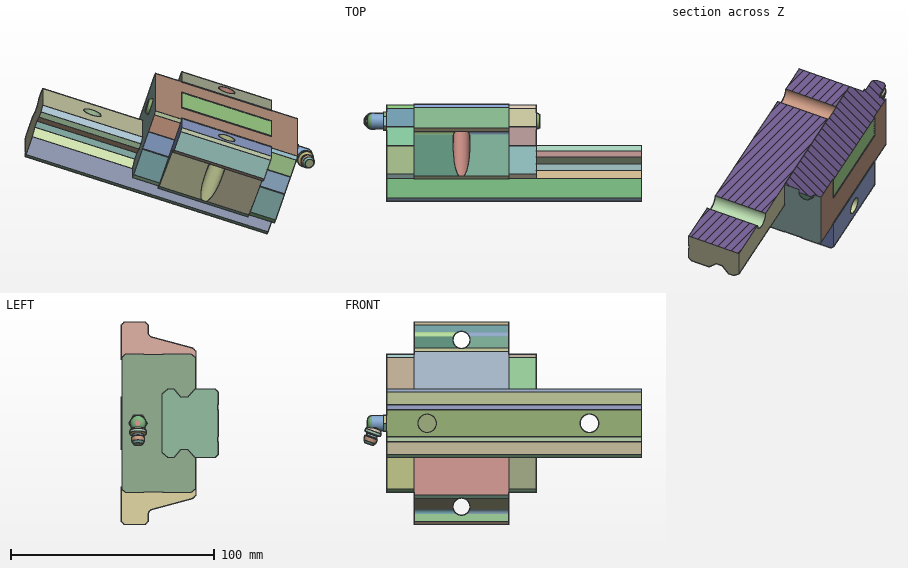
import cadquery as cq
import math


rail_length = 125.7
rail_half_width = 17.0
rail_height = 27.7
rail_waist_half_width = 12.9
rail_side_height = 11.4
rail_waist_bottom = 15.2
rail_waist_top = 18.5
rail_head_bottom = 21.9
rail_head_side_top = 24.8
rail_crown_half_width = 14.5
edge_chamfer = 1.6
rail_hole_diameter = 9.0
rail_hole_pitch = 80.0
rail_hole_end_distance = 20.0
base_groove_inner = 6.6
base_groove_outer = 9.3
base_groove_depth = 0.3

assembly_height = 48.0
block_half_width = 50.0
block_start = 13.5
block_length = 46.7
block_bottom = 11.0
flange_bottom = 34.5
flank_top_half_width = 43.0
flank_bottom = 12.6
flank_bottom_half_width = 37.1
block_bottom_half_width = 35.3
flank_fillet = 2.3
mount_hole_diameter = 8.4
mount_hole_half_spacing = 41.1
top_relief_inner = 13.0
top_relief_outer = 31.5

cap_half_width = 34.1
cap_bottom = 11.4
cap_top = 47.5
cap_bottom_chamfer_height = 2.0
carriage_length = 73.8
cap_relief_bottom = 27.3
cap_relief_top = 36.8
cap_relief_depth = 0.3

fitting_height = 39.6
hex_across_flats = 8.0
hex_length = 1.6
elbow_diameter = 7.8
elbow_length = 9.6
elbow_round = 2.6
nozzle_offset = 5.0
nozzle_tilt = 20
nozzle_root_radius = 3.3
collar_start = 2.6
collar_shoulder = 4.1
collar_shoulder_end = 5.5
collar_end = 6.0
collar_radius = 4.1
nozzle_neck_radius = 2.7
head_start = 7.0
head_barrel_start = 7.5
head_barrel_end = 9.7
head_barrel_start_radius = 3.3
head_barrel_middle_radius = 3.3
head_barrel_end_radius = 3.0
head_end = 11.0
head_tip_radius = 2.2
plug_base_diameter = 8.4
plug_end_diameter = 6.6
plug_length = 1.8


def prism(half_outline, start, length):
    """Solid along X from the +Z half of a (Y, Z) outline, mirrored to -Z."""
    mirrored = [(y, -z) for y, z in reversed(half_outline)]
    outline = cq.Workplane("YZ").workplane(offset=start).polyline(half_outline + mirrored)
    return outline.close().extrude(length)


def cross_hole(x, z, diameter):
    """Cylinder along Y, reaching through the whole assembly."""
    plane = cq.Workplane("XZ", origin=(x, 0, z))
    return plane.circle(diameter / 2).extrude(-assembly_height)


def rail_blank():
    return prism(
        [
            (0, base_groove_inner),
            (base_groove_depth, base_groove_inner + base_groove_depth),
            (base_groove_depth, base_groove_outer - base_groove_depth),
            (0, base_groove_outer),
            (0, rail_half_width - edge_chamfer),
            (edge_chamfer, rail_half_width),
            (rail_side_height, rail_half_width),
            (rail_waist_bottom, rail_waist_half_width),
            (rail_waist_top, rail_waist_half_width),
            (rail_head_bottom, rail_half_width),
            (rail_head_side_top, rail_half_width),
            (rail_height, rail_crown_half_width),
        ],
        0,
        rail_length,
    )


def make_rail():
    rail = rail_blank()
    for x in (rail_hole_end_distance, rail_hole_end_distance + rail_hole_pitch):
        rail = rail.cut(cross_hole(x, 0, rail_hole_diameter))
    return rail


def flanged_block():
    block = prism(
        [
            (block_bottom, block_bottom_half_width),
            (flank_bottom, flank_bottom_half_width),
            (flange_bottom, flank_top_half_width),
            (flange_bottom, block_half_width - edge_chamfer),
            (flange_bottom + edge_chamfer, block_half_width),
            (assembly_height - edge_chamfer, block_half_width),
            (assembly_height, block_half_width - edge_chamfer),
        ],
        block_start,
        block_length,
    )
    middle = block_start + block_length / 2
    for side in (-1, 1):
        corner = cq.selectors.NearestToPointSelector((middle, flange_bottom, side * flank_top_half_width))
        block = block.edges("|X").edges(corner).fillet(flank_fillet)
    relief_width = top_relief_outer - top_relief_inner
    for z0 in (top_relief_inner, -top_relief_outer):
        relief = cq.Workplane("XY").box(block_length, assembly_height - cap_top, relief_width, centered=False)
        block = block.cut(relief.translate((block_start, cap_top, z0)))
    for side in (-1, 1):
        block = block.cut(cross_hole(middle, side * mount_hole_half_spacing, mount_hole_diameter))
    return block


def end_caps():
    """Both end caps as one prism through the block; each side has a shallow relief with 45 degree walls."""
    relief_half_width = cap_half_width - cap_relief_depth
    return prism(
        [
            (cap_bottom, cap_half_width - edge_chamfer),
            (cap_bottom + cap_bottom_chamfer_height, cap_half_width),
            (cap_relief_bottom, cap_half_width),
            (cap_relief_bottom + cap_relief_depth, relief_half_width),
            (cap_relief_top - cap_relief_depth, relief_half_width),
            (cap_relief_top, cap_half_width),
            (cap_top - edge_chamfer, cap_half_width),
            (cap_top, cap_half_width - edge_chamfer),
        ],
        0,
        carriage_length,
    )


def grease_nipple():
    """Hexagon foot and round elbow along -X, with a collared nozzle tilted down from the elbow."""
    face = cq.Workplane("YZ", origin=(0, fitting_height, 0))
    foot = face.polygon(6, hex_across_flats / math.cos(math.pi / 6)).extrude(-hex_length)
    elbow = face.circle(elbow_diameter / 2).extrude(-elbow_length).faces("<X").edges().fillet(elbow_round)
    nozzle = (
        cq.Workplane("XZ")
        .moveTo(0, 0)
        .lineTo(nozzle_root_radius, 0)
        .lineTo(nozzle_root_radius, -collar_start)
        .lineTo(collar_radius, -collar_shoulder)
        .lineTo(collar_radius, -collar_shoulder_end)
        .lineTo(nozzle_neck_radius, -collar_end)
        .lineTo(nozzle_neck_radius, -head_start)
        .lineTo(head_barrel_start_radius, -head_barrel_start)
        .threePointArc(
            (head_barrel_middle_radius, -(head_barrel_start + head_barrel_end) / 2),
            (head_barrel_end_radius, -head_barrel_end),
        )
        .lineTo(head_tip_radius, -head_end)
        .lineTo(0, -head_end)
        .close()
        .revolve(360, (0, 0, 0), (0, 1, 0))
        .rotate((0, 0, 0), (0, 1, 0), nozzle_tilt)
        .translate((-nozzle_offset, fitting_height, 0))
    )
    return foot.union(elbow).union(nozzle)


def end_plug():
    face = cq.Workplane("YZ", origin=(carriage_length, fitting_height, 0))
    taper = math.degrees(math.atan2((plug_base_diameter - plug_end_diameter) / 2, plug_length))
    return face.circle(plug_base_diameter / 2).extrude(plug_length, taper=taper)


def make_carriage():
    carriage = flanged_block().union(end_caps()).cut(rail_blank())
    return carriage.union(grease_nipple()).union(end_plug())


rail = make_rail()
carriage = make_carriage()
result = cq.Compound.makeCompound([rail.val(), carriage.val()])